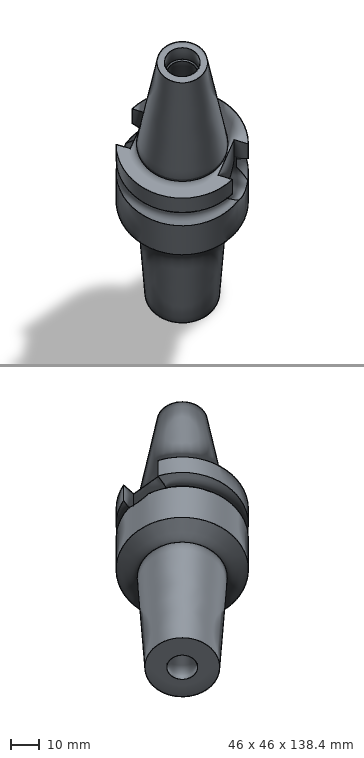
import cadquery as cq

length = 138.4
flange_radius = 23.0

gauge_z = 90.0
gauge_radius = 15.85
taper_ratio = 7 / 24
taper_top_radius = gauge_radius - (length - gauge_z) * taper_ratio / 2

flange_top_z = 89.1
groove_upper_edge_z = 80.4
groove_upper_root_z = 78.0
groove_lower_root_z = 74.9
groove_lower_edge_z = 72.5
groove_radius = 18.89
flange_bottom_z = 55.1

nose_top_z = 50.5
nose_top_radius = 15.6
nose_end_radius = 13.0

bore_diameter = 10.7
counterbore_diameter = 12.3
counterbore_depth = 6.9

slot_width = 16.0
slot_floor_x = 16.26
slot_bottom_z = 71.1
slot_arc_center_z = slot_bottom_z + slot_width / 2


def turned_body():
    """Outer shape revolved about Z, from the nose end up to the taper end."""
    return (
        cq.Workplane("XZ")
        .moveTo(0, 0)
        .lineTo(nose_end_radius, 0)
        .lineTo(nose_top_radius, nose_top_z)
        .lineTo(flange_radius, flange_bottom_z)
        .lineTo(flange_radius, groove_lower_edge_z)
        .lineTo(groove_radius, groove_lower_root_z)
        .lineTo(groove_radius, groove_upper_root_z)
        .lineTo(flange_radius, groove_upper_edge_z)
        .lineTo(flange_radius, flange_top_z)
        .lineTo(gauge_radius, flange_top_z)
        .lineTo(gauge_radius, gauge_z)
        .lineTo(taper_top_radius, length)
        .lineTo(0, length)
        .close()
        .revolve(360, (0, 0, 0), (0, 1, 0))
    )


def drive_slot(side):
    """Round-bottomed cutter, open at the flange top; side is -1 or +1 along X."""
    half_width = slot_width / 2
    return (
        cq.Workplane("YZ", origin=(side * slot_floor_x, 0, 0))
        .moveTo(-half_width, flange_top_z)
        .lineTo(-half_width, slot_arc_center_z)
        .threePointArc((0, slot_bottom_z), (half_width, slot_arc_center_z))
        .lineTo(half_width, flange_top_z)
        .close()
        .extrude(side * flange_radius)
    )


body = turned_body()
for side in (-1, 1):
    body = body.cut(drive_slot(side))

result = body.faces(">Z").workplane().cboreHole(bore_diameter, counterbore_diameter, counterbore_depth)